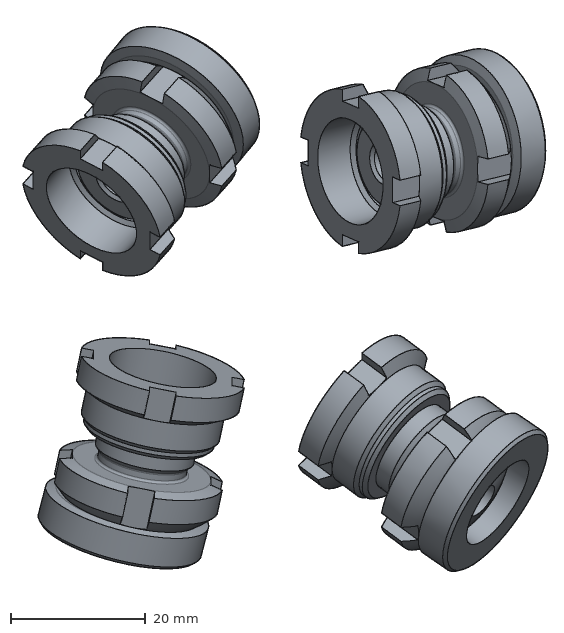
import cadquery as cq
import math


flange_radius = 12.5
slot_floor_radius = 10.5
slot_width = 4.0
slot_count = 4
cutter_overrun = 0.28

flange_edge_y = 3.85
neck_start_y = 5.0
neck_radius = slot_floor_radius
base_length = 11.0
runout = 0.6
runout_land = 0.62
counterbore_radius = 8.1
counterbore_depth = 6.0
thread_radius = 7.5

spindle_start_y = counterbore_depth
groove_radius = 6.73
groove_fillet = 0.4
end_face_radius = 6.45
end_groove_length = 0.55
thread_end_y = 13.55
head_start_y = 15.77
head_chamfer = 0.53
head_edge_y = 20.12
dome_radius = 16.85
bore_radius = 2.75
bore_chamfer = 0.5

washer_radius = 12.5
washer_hole_radius = 7.44
washer_rim = 4.6
washer_top_chamfer = 0.5
washer_bottom_radius = 11.0
washer_bottom_chamfer = 0.4
washer_centre = (-0.93, 24.75, 0.53)
washer_tilt_z = 2.4
washer_tilt_x = -0.45

dome_centre_y = head_edge_y - math.sqrt(dome_radius**2 - flange_radius**2)


def turn(profile):
    """Revolve a closed profile of (radius, Y) around the Y axis."""
    return profile.close().revolve(360, (0, 0, 0), (0, 1, 0))


def flange_slots(start_y, end_y):
    """Cutters for the flat-floored slots spaced evenly around a flange."""
    slot_height = flange_radius - slot_floor_radius + cutter_overrun
    slot = cq.Workplane("XY").box(slot_width, end_y - start_y, slot_height, centered=(True, False, False))
    slot = slot.translate((0, start_y, slot_floor_radius))
    cutters = cq.Workplane("XY")
    for i in range(slot_count):
        cutters = cutters.add(slot.rotate((0, 0, 0), (0, 1, 0), i * 360 / slot_count))
    return cutters.combine()


def make_base():
    top_land_radius = neck_radius - runout
    land_end_y = base_length - runout
    land_start_y = land_end_y - runout_land
    bore_step = counterbore_radius - thread_radius
    body = turn(
        cq.Workplane("XY")
        .moveTo(counterbore_radius, 0)
        .lineTo(flange_radius, 0)
        .lineTo(flange_radius, flange_edge_y)
        .lineTo(neck_radius, neck_start_y)
        .lineTo(neck_radius, land_start_y - runout)
        .lineTo(top_land_radius, land_start_y)
        .lineTo(top_land_radius, land_end_y)
        .lineTo(top_land_radius - runout, base_length)
        .lineTo(thread_radius, base_length)
        .lineTo(thread_radius, counterbore_depth + bore_step)
        .lineTo(counterbore_radius, counterbore_depth)
    )
    return body.cut(flange_slots(0, neck_start_y))


def make_spindle():
    cone_angle = math.radians(45)
    turn_length = groove_fillet * math.sin(cone_angle)
    turn_rise = groove_fillet * (1 - math.cos(cone_angle))
    mid_length = groove_fillet * math.sin(cone_angle / 2)
    mid_rise = groove_fillet * (1 - math.cos(cone_angle / 2))
    cone_step = thread_radius - groove_radius - turn_rise

    end_groove_y = spindle_start_y + groove_radius - end_face_radius
    end_turn_y = end_groove_y + end_groove_length
    end_cone_y = end_turn_y + turn_length
    top_cone_y = thread_end_y + cone_step
    top_turn_y = top_cone_y + turn_length
    cone_radius = groove_radius + turn_rise
    corner_y = head_start_y - groove_fillet

    dome_edge_angle = math.acos(flange_radius / dome_radius)
    dome_bore_angle = math.acos(bore_radius / dome_radius)
    dome_mid_angle = (dome_edge_angle + dome_bore_angle) / 2
    dome_mid = (
        dome_radius * math.cos(dome_mid_angle),
        dome_centre_y + dome_radius * math.sin(dome_mid_angle),
    )
    dome_top = (bore_radius, dome_centre_y + dome_radius * math.sin(dome_bore_angle))

    body = turn(
        cq.Workplane("XY")
        .moveTo(bore_radius + bore_chamfer, spindle_start_y)
        .lineTo(end_face_radius, spindle_start_y)
        .lineTo(groove_radius, end_groove_y)
        .lineTo(groove_radius, end_turn_y)
        .threePointArc((groove_radius + mid_rise, end_turn_y + mid_length), (cone_radius, end_cone_y))
        .lineTo(thread_radius, end_cone_y + cone_step)
        .lineTo(thread_radius, thread_end_y)
        .lineTo(cone_radius, top_cone_y)
        .threePointArc((groove_radius + mid_rise, top_turn_y - mid_length), (groove_radius, top_turn_y))
        .lineTo(groove_radius, corner_y)
        .threePointArc(
            (groove_radius + turn_rise, corner_y + turn_length),
            (groove_radius + groove_fillet, head_start_y),
        )
        .lineTo(slot_floor_radius, head_start_y)
        .lineTo(flange_radius, head_start_y + head_chamfer)
        .lineTo(flange_radius, head_edge_y)
        .threePointArc(dome_mid, dome_top)
        .lineTo(bore_radius, spindle_start_y + bore_chamfer)
    )
    return body.cut(flange_slots(head_start_y, dome_centre_y + dome_radius))


def make_washer():
    half_rim = washer_rim / 2
    top_y = half_rim + washer_top_chamfer
    bottom_y = -half_rim - washer_bottom_chamfer
    ring = turn(
        cq.Workplane("XY")
        .moveTo(washer_hole_radius, bottom_y)
        .lineTo(washer_bottom_radius, bottom_y)
        .lineTo(washer_radius, -half_rim)
        .lineTo(washer_radius, half_rim)
        .lineTo(washer_radius - washer_top_chamfer, top_y)
        .lineTo(washer_hole_radius, top_y)
    )
    ring = ring.rotate((0, 0, 0), (0, 0, 1), washer_tilt_z)
    ring = ring.rotate((0, 0, 0), (1, 0, 0), washer_tilt_x)
    ring = ring.translate(washer_centre)
    dome = cq.Workplane("XY").sphere(dome_radius).translate((0, dome_centre_y, 0))
    return ring.cut(dome)


base = make_base().solids()
spindle = make_spindle().solids()
washer = make_washer().solids()

result = cq.Compound.makeCompound([base.val(), spindle.val(), washer.val()])